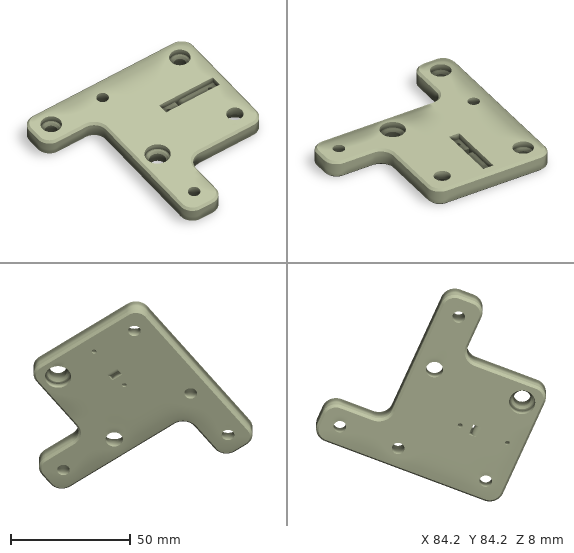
import cadquery as cq

SIZE = 84.2
THICKNESS = 8.0
ARM_WIDTH = 18.0
BODY_WIDTH = 57.7
CORNER_RADIUS = 6.0
EDGE_CHAMFER = 1.0

EDGE_OFFSET = ARM_WIDTH / 2
FAR_OFFSET = SIZE - EDGE_OFFSET
BODY_OFFSET = BODY_WIDTH - EDGE_OFFSET
ARM_BOTTOM = SIZE - BODY_WIDTH
ARM_TOP = ARM_BOTTOM + ARM_WIDTH
ARM_CENTER_Y = ARM_BOTTOM + EDGE_OFFSET

SMALL_DIAMETER = 5.3
LARGE_DIAMETER = 7.2
SMALL_BORE_DIAMETER = 9.0
LARGE_BORE_DIAMETER = 11.0
BORE_DEPTH = 2.8
HOLE_CHAMFER = 0.9

PLAIN_HOLES = [
    (EDGE_OFFSET, ARM_CENTER_Y, SMALL_DIAMETER),
    (FAR_OFFSET, ARM_CENTER_Y, SMALL_DIAMETER),
]
TOP_BORED_HOLES = [
    (EDGE_OFFSET, EDGE_OFFSET, SMALL_DIAMETER, SMALL_BORE_DIAMETER),
    (EDGE_OFFSET, FAR_OFFSET, SMALL_DIAMETER, SMALL_BORE_DIAMETER),
    (BODY_OFFSET, ARM_CENTER_Y, LARGE_DIAMETER, LARGE_BORE_DIAMETER),
]
UNDERSIDE_BORED_HOLE = (BODY_OFFSET, FAR_OFFSET, LARGE_DIAMETER, LARGE_BORE_DIAMETER)

POCKET_WIDTH = 5.0
POCKET_LENGTH = 27.6
POCKET_DEPTH = 3.0
POCKET_X = BODY_WIDTH / 2
POCKET_Y = 66.0
PIN_DIAMETER = 2.0
PIN_SPACING = 21.4
SLIT_FRONT_Y = 60.3
SLIT_WIDTH = 1.2


def plate():
    outline = [
        (0, 0),
        (ARM_WIDTH, 0),
        (ARM_WIDTH, ARM_BOTTOM),
        (SIZE, ARM_BOTTOM),
        (SIZE, ARM_TOP),
        (BODY_WIDTH, ARM_TOP),
        (BODY_WIDTH, SIZE),
        (0, SIZE),
    ]
    body = cq.Workplane("XY").polyline(outline).close().extrude(THICKNESS)
    body = body.edges("|Z").fillet(CORNER_RADIUS)
    return body.faces("<Z or >Z").edges().chamfer(EDGE_CHAMFER)


def through_hole(x, y, diameter):
    return cq.Workplane("XY").center(x, y).circle(diameter / 2).extrude(THICKNESS)


def counterbored_hole(x, y, diameter, bore_diameter, underside=False):
    """Through hole with a chamfered mouth at the floor of its counterbore."""
    radius = diameter / 2
    bore_radius = bore_diameter / 2
    bore_floor = THICKNESS - BORE_DEPTH
    profile = [
        (0, 0),
        (radius, 0),
        (radius, bore_floor - HOLE_CHAMFER),
        (radius + HOLE_CHAMFER, bore_floor),
        (bore_radius, bore_floor),
        (bore_radius, THICKNESS),
        (0, THICKNESS),
    ]
    hole = cq.Workplane("XZ").polyline(profile).close().revolve(360, (0, 0, 0), (0, 1, 0))
    if underside:
        hole = hole.mirror("XY", (0, 0, THICKNESS / 2))
    return hole.translate((x, y, 0))


def pocket():
    floor = THICKNESS - POCKET_DEPTH
    recess = (
        cq.Workplane("XY", origin=(POCKET_X, POCKET_Y, floor))
        .rect(POCKET_WIDTH, POCKET_LENGTH)
        .extrude(POCKET_DEPTH)
    )
    for side in (-1, 1):
        recess = recess.union(through_hole(POCKET_X, POCKET_Y + side * PIN_SPACING / 2, PIN_DIAMETER))
    return recess.union(rounded_slit(floor))


def rounded_slit(floor):
    """Slit from the pocket floor to the underside, its rear lip fully rounded."""
    lip_radius = floor / 2
    lip_front_y = SLIT_FRONT_Y + SLIT_WIDTH
    lip_center_y = lip_front_y + lip_radius
    return (
        cq.Workplane("YZ", origin=(POCKET_X, 0, 0))
        .moveTo(SLIT_FRONT_Y, 0)
        .lineTo(lip_center_y, 0)
        .threePointArc((lip_front_y, lip_radius), (lip_center_y, floor))
        .lineTo(SLIT_FRONT_Y, floor)
        .close()
        .extrude(POCKET_WIDTH / 2, both=True)
    )


result = plate()
for plain_hole in PLAIN_HOLES:
    result = result.cut(through_hole(*plain_hole))
for stepped_hole in TOP_BORED_HOLES:
    result = result.cut(counterbored_hole(*stepped_hole))
result = result.cut(counterbored_hole(*UNDERSIDE_BORED_HOLE, underside=True))
result = result.cut(pocket())